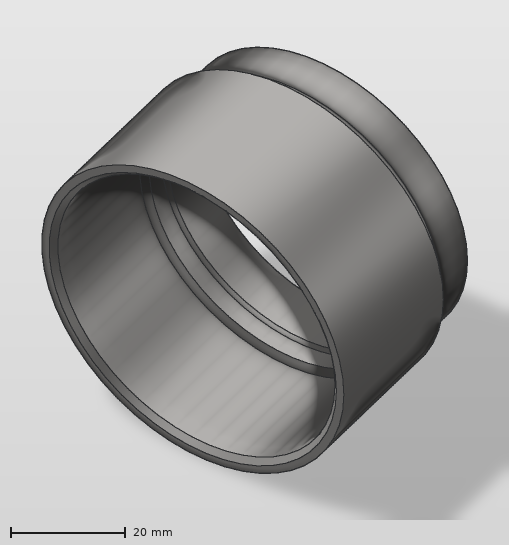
import cadquery as cq

length = 40.0
y_mouth = -length / 2
y_end = length / 2

body_radius = 32.5
spigot_radius = 30.2
spigot_length = 8.0
shoulder_length = 2.4

mouth_radius = 30.9
mouth_chamfer_depth = 1.1
socket_radius = 29.8
socket_depth = 25.4
seat_radius = 28.3
seat_taper_length = 0.8
seat_depth = 29.85
throat_radius = 27.65
throat_taper_length = 0.7

y_spigot = y_end - spigot_length
y_shoulder = y_spigot - shoulder_length
y_socket_end = y_mouth + socket_depth
y_seat_end = y_mouth + seat_depth


def make_sleeve():
    """Revolve the wall section, given as (radius, y) points, about the Y axis."""
    outside = [
        (body_radius, y_mouth),
        (body_radius, y_shoulder),
        (spigot_radius, y_spigot),
        (spigot_radius, y_end),
    ]
    inside = [
        (throat_radius, y_end),
        (throat_radius, y_seat_end + throat_taper_length),
        (seat_radius, y_seat_end),
        (seat_radius, y_socket_end + seat_taper_length),
        (socket_radius, y_socket_end),
        (socket_radius, y_mouth + mouth_chamfer_depth),
        (mouth_radius, y_mouth),
    ]
    section = cq.Workplane("XY").polyline(outside + inside).close()
    return section.revolve(360, (0, 0, 0), (0, 1, 0))


result = make_sleeve()